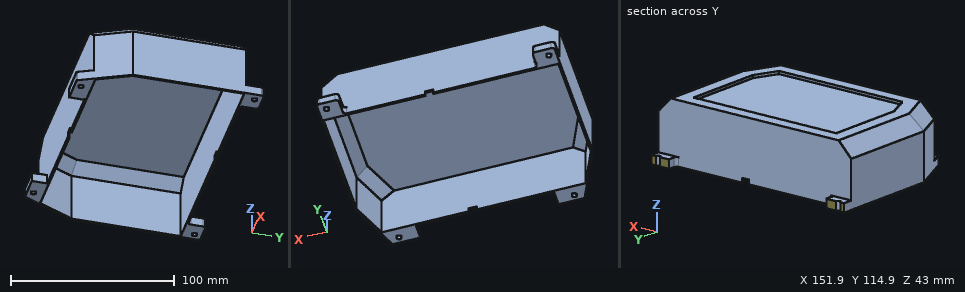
import cadquery as cq
import math

width = 151.9
half_width = width / 2
height = 43.0
back_tab_length = 11.5
front_tab_length = 9.7
body_depth = 93.7
front_y = -body_depth / 2
back_y = body_depth / 2
tab_front_y = front_y - front_tab_length
tab_back_y = back_y + back_tab_length

left_corner_y = tab_front_y + 33.0
right_corner_y = tab_front_y + 31.7
left_tip_x = -61.0
right_tip_x = 61.7

bevel = 9.9
rim = 10.0
recess_depth = 2.0
wall = 1.0

tab_height = 6.4
hole_diameter = 3.0
back_tab_width = 14.1
back_tab_round = 2.0
right_tip_round = 0.8
back_hole_inset = 4.9
right_back_hole_inset = 5.3
front_hole_inset = 4.1
left_tab_inner_x = -44.2
right_tab_inner_x = 43.7
left_front_hole_x = -55.6
right_front_hole_x = 56.2

notch_x = 7.3
notch_width = 5.0
notch_height = 3.0


def slant(side):
    """Return corner Y, tip |X| and run per unit of Y for the slanted wall on one side."""
    corner_y, tip_x = (left_corner_y, -left_tip_x) if side < 0 else (right_corner_y, right_tip_x)
    return corner_y, tip_x, (half_width - tip_x) / (corner_y - tab_front_y)


def outline(side_inset, end_inset):
    """Body outline with the side and slanted walls moved in, and the front and back moved in."""
    front = front_y + end_inset
    back = back_y - end_inset
    side_x = half_width - side_inset
    points = []
    for side in (-1, 1):
        corner_y, tip_x, slope = slant(side)
        slant_shift = side_inset * math.hypot(1, slope)
        front_x = tip_x + slope * (front - tab_front_y) - slant_shift
        inset_corner_y = corner_y + (slant_shift - side_inset) / slope
        wall_points = [(side * side_x, back), (side * side_x, inset_corner_y), (side * front_x, front)]
        points += wall_points if side < 0 else wall_points[::-1]
    return points


def prism(points, bottom, thickness):
    return cq.Workplane("XY").workplane(offset=bottom).polyline(points).close().extrude(thickness)


def bevelled_block(side_inset, end_inset, shoulder, top):
    """Straight walls up to the shoulder, then a 45 degree bevel up to the top."""
    rise = top - shoulder
    lower = prism(outline(side_inset, end_inset), 0, shoulder)
    upper = (
        cq.Workplane("XY").workplane(offset=shoulder)
        .polyline(outline(side_inset, end_inset)).close()
        .workplane(offset=rise)
        .polyline(outline(side_inset + rise, end_inset)).close()
        .loft(ruled=True)
    )
    return lower.union(upper)


def body():
    return bevelled_block(0, 0, height - bevel, height)


def top_recess():
    return prism(outline(bevel + rim, rim), height - recess_depth, recess_depth)


def cavity():
    inner_shoulder = height - bevel - wall * (math.sqrt(2) - 1)
    return bevelled_block(wall, wall, inner_shoulder, height - recess_depth - wall)


def front_tab(side, inner_x):
    _, tip_x, slope = slant(side)
    root_x = side * (tip_x + slope * front_tab_length)
    points = [(inner_x, tab_front_y), (side * tip_x, tab_front_y), (root_x, front_y), (inner_x, front_y)]
    tab = prism(points, 0, tab_height)
    if side > 0:
        tip = (tip_x, tab_front_y, tab_height / 2)
        tab = tab.edges(cq.NearestToPointSelector(tip)).fillet(right_tip_round)
    return tab


def back_tab(side):
    outer_x = side * half_width
    inner_x = outer_x - side * back_tab_width
    points = [(outer_x, back_y), (outer_x, tab_back_y), (inner_x, tab_back_y), (inner_x, back_y)]
    tab = prism(points, 0, tab_height).edges("|Z and >Y").fillet(back_tab_round)
    flare_x = inner_x - side * back_tab_round
    flare_y = back_y + back_tab_round
    arc_reach = back_tab_round * math.sqrt(0.5)
    flare = (
        cq.Workplane("XY").moveTo(inner_x, back_y).lineTo(inner_x, flare_y)
        .threePointArc((flare_x + side * arc_reach, flare_y - arc_reach), (flare_x, back_y))
        .close().extrude(tab_height)
    )
    return tab.union(flare)


result = body().cut(top_recess()).cut(cavity())
for side, inner_x in ((-1, left_tab_inner_x), (1, right_tab_inner_x)):
    result = result.union(front_tab(side, inner_x)).union(back_tab(side))

back_hole_y = tab_back_y - back_hole_inset
front_hole_y = tab_front_y + front_hole_inset
hole_points = [
    (-half_width + back_hole_inset, back_hole_y),
    (half_width - right_back_hole_inset, back_hole_y),
    (left_front_hole_x, front_hole_y),
    (right_front_hole_x, front_hole_y),
]
holes = cq.Workplane("XY").pushPoints(hole_points).circle(hole_diameter / 2).extrude(tab_height)

notches = (
    cq.Workplane("XY").center(notch_x, 0)
    .rect(notch_width, body_depth).extrude(notch_height)
)
result = result.cut(holes).cut(notches)